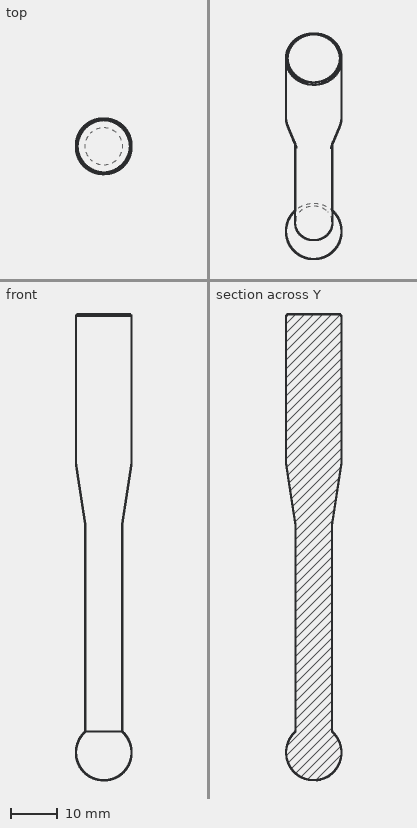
import cadquery as cq
import math

total_length = 100.0
ball_radius = 6.0
shank_radius = 6.0
shank_length = 32.0
taper_length = 13.0
neck_radius = 4.0
edge_chamfer = 0.4

shank_bottom = total_length - shank_length
taper_bottom = shank_bottom - taper_length
neck_bottom = ball_radius + math.sqrt(ball_radius**2 - neck_radius**2)

profile = (
    cq.Workplane("XZ")
    .moveTo(0, 0)
    .threePointArc((ball_radius, ball_radius), (neck_radius, neck_bottom))
    .lineTo(neck_radius, taper_bottom)
    .lineTo(shank_radius, shank_bottom)
    .lineTo(shank_radius, total_length)
    .lineTo(0, total_length)
    .close()
)
body = profile.revolve(360, (0, 0, 0), (0, 1, 0))

result = body.faces(">Z").edges().chamfer(edge_chamfer)